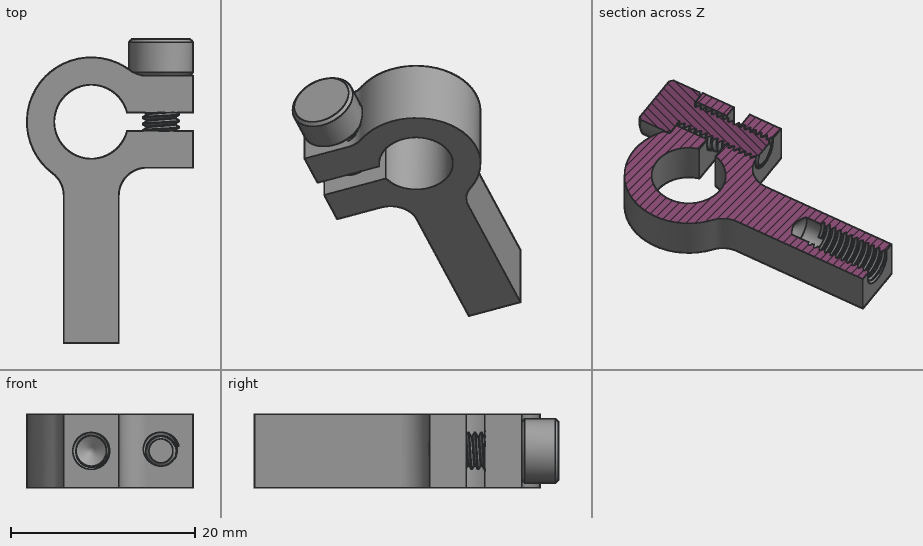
import cadquery as cq
import math

thickness = 8.0
ring_radius = 7.0
bore_radius = 4.0
lug_end_x = 11.06
lug_half_width = 5.0
slot_width = 2.0
stem_width = 6.0
stem_end_y = -24.0
blend_radius = 3.0

thread_pitch = 0.7
major_radius = 4.0 / 2
tap_radius = 3.3 / 2
screw_core_radius = 3.14 / 2
ridge_base_radius = 1.54
crest_width = thread_pitch / 8
flank_half_angle = 30.0
screw_thread_clearance = 0.02

head_radius = 7.0 / 2
head_height = 4.0
head_chamfer = 0.35
screw_x = lug_end_x - head_radius
screw_length = 10.0
tip_radius = 1.3
clearance_radius = 4.3 / 2

stem_hole_depth = 10.0
drill_tip_half_angle = 59.0
stem_hole_thread_length = 8.0
stem_hole_mouth_radius = major_radius
stem_thread_start_angle = 250.0


def revolved(points):
    """Solid turned about Z from an outline of (radius, z) points."""
    return cq.Workplane("XZ").polyline(points).close().revolve(360, (0, 0, 0), (0, 1, 0))


def thread_ridge(length, clearance=0.0):
    """Right-handed helical ridge about Z, starting at z = 0 on the +X side.

    The clearance thickens the ridge outwards and to both sides.
    """
    crest_radius = major_radius + clearance
    half_crest = crest_width / 2 + clearance
    half_base = half_crest + (major_radius - ridge_base_radius) * math.tan(math.radians(flank_half_angle))
    profile = [
        (ridge_base_radius, -half_base),
        (crest_radius, -half_crest),
        (crest_radius, half_crest),
        (ridge_base_radius, half_base),
    ]
    helix = cq.Wire.makeHelix(thread_pitch, length, major_radius)
    return cq.Workplane("XZ").polyline(profile).close().sweep(cq.Workplane(helix), isFrenet=True)


def along_screw(local_shape):
    """Place a shape so that its +Z runs along -Y from the underside of the screw head."""
    return local_shape.rotate((0, 0, 0), (1, 0, 0), 90).translate((screw_x, lug_half_width, 0))


def into_stem(local_shape):
    """Place a shape so that its +Z runs along +Y from the end of the stem."""
    return local_shape.rotate((0, 0, 0), (1, 0, 0), -90).translate((0, stem_end_y, 0))


def make_screw():
    head = revolved([
        (0, 0),
        (head_radius - head_chamfer, 0),
        (head_radius, -head_chamfer),
        (head_radius, head_chamfer - head_height),
        (head_radius - head_chamfer, -head_height),
        (0, -head_height),
    ])
    tip_overrun = 2 * thread_pitch
    core = (
        cq.Workplane("XY")
        .workplane(offset=-thread_pitch)
        .circle(screw_core_radius)
        .extrude(thread_pitch + screw_length + tip_overrun)
    )
    cutter_radius = major_radius + thread_pitch
    cutter_end = screw_length + 2 * tip_overrun
    tip_cutter = revolved([
        (0, screw_length),
        (tip_radius, screw_length),
        (cutter_radius, screw_length + tip_radius - cutter_radius),
        (cutter_radius, cutter_end),
        (0, cutter_end),
    ])
    shank = core.union(thread_ridge(screw_length + thread_pitch)).cut(tip_cutter)
    return along_screw(head.union(shank))


def clamp_outline():
    blend_centre = ring_radius + blend_radius
    stem_half = stem_width / 2
    lug_blend_y = lug_half_width + blend_radius
    lug_blend_x = math.sqrt(blend_centre**2 - lug_blend_y**2)
    stem_blend_x = -stem_half - blend_radius
    stem_blend_y = -math.sqrt(blend_centre**2 - stem_blend_x**2)
    on_ring = ring_radius / blend_centre
    return (
        cq.Workplane("XY")
        .workplane(offset=-thickness / 2)
        .moveTo(-stem_half, stem_end_y)
        .lineTo(stem_half, stem_end_y)
        .lineTo(stem_half, -lug_half_width - blend_radius)
        .radiusArc((stem_half + blend_radius, -lug_half_width), blend_radius)
        .lineTo(lug_end_x, -lug_half_width)
        .lineTo(lug_end_x, lug_half_width)
        .lineTo(lug_blend_x, lug_half_width)
        .radiusArc((lug_blend_x * on_ring, lug_blend_y * on_ring), blend_radius)
        .threePointArc((-ring_radius, 0), (stem_blend_x * on_ring, stem_blend_y * on_ring))
        .radiusArc((-stem_half, stem_blend_y), blend_radius)
        .close()
    )


def screw_holes():
    """Head seat and clearance hole in the upper lug, and tapped hole in the lower lug."""
    head_to_slot_centre = lug_half_width
    lug_stack = 2 * lug_half_width
    turns_to_slot = math.floor(head_to_slot_centre / thread_pitch)
    thread_start = turns_to_slot * thread_pitch
    ridge_length = lug_stack - thread_start + thread_pitch
    ridge = thread_ridge(ridge_length, screw_thread_clearance).translate((0, 0, thread_start))
    tap = cq.Workplane("XY").circle(tap_radius).extrude(lug_stack + thread_pitch)
    clearance = cq.Workplane("XY").circle(clearance_radius).extrude(head_to_slot_centre)
    head_seat = cq.Workplane("XY").circle(head_radius).extrude(-head_height)
    return along_screw(head_seat.union(clearance)), along_screw(tap.union(ridge))


def stem_hole():
    """Blind tapped hole with a drill-point bottom and a chamfered mouth."""
    drill_tip_length = tap_radius / math.tan(math.radians(drill_tip_half_angle))
    mouth_depth = stem_hole_mouth_radius - tap_radius
    mouth_and_drill = revolved([
        (0, 0),
        (stem_hole_mouth_radius, 0),
        (tap_radius, mouth_depth),
        (tap_radius, stem_hole_depth),
        (0, stem_hole_depth + drill_tip_length),
    ])
    ridge = thread_ridge(stem_hole_thread_length).rotate((0, 0, 0), (0, 0, 1), stem_thread_start_angle)
    return into_stem(mouth_and_drill.union(ridge))


def make_clamp():
    body = clamp_outline().extrude(thickness)
    bore = cq.Workplane("XY").circle(bore_radius).extrude(thickness, both=True)
    slot = cq.Workplane("XY").box(lug_end_x, slot_width, thickness).translate((lug_end_x / 2, 0, 0))
    seat_and_clearance, tapped_hole = screw_holes()
    return body.cut(bore).cut(slot).cut(seat_and_clearance).cut(tapped_hole).cut(stem_hole())


clamp = make_clamp()
screw = make_screw()

result = cq.Compound.makeCompound([clamp.val(), screw.val()])